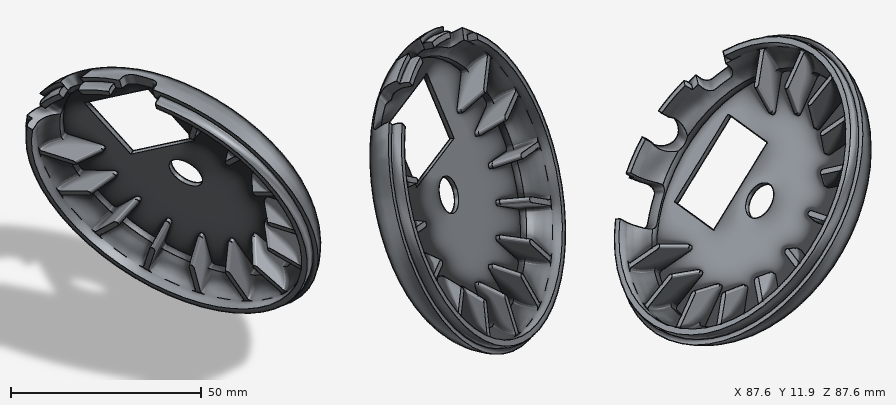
import cadquery as cq
import math

HEIGHT = 11.9
FLOOR_THICKNESS = 1.3
FLOOR_Y = HEIGHT - FLOOR_THICKNESS

OUTER_RADIUS = 43.8
FACE_RADIUS = 38.4
FLANGE_Y = 3.0
DOME_MID = (41.8, 8.1)

LIP_INNER_RADIUS = 40.5
FLOOR_RADIUS = 36.7
WALL_FOOT_Y = 8.7
WALL_MID = (39.0, 6.4)

NECK_RADIUS = 42.3
BEAD_START_Y = 2.45
BEAD_MID = (42.5, 1.3)
LIP_TIP_RADIUS = 42.15

RIB_POSITIONS = 16
RIB_GAP = 4
RIB_STEP = 360 / RIB_POSITIONS
FIRST_RIB_ANGLE = RIB_STEP / 2 - 180
RIB_THICKNESS = 1.6
RIB_FOOT_RADIUS = 24.5
RIB_FOOT_HEIGHT = 1.1
RIB_TOP_RADIUS = 29.3
RIB_ROOT_FILLET = 1.0
ROOT_DEPTH = 0.9
TOLERANCE = 0.01

CENTRE_HOLE_DIAMETER = 10.0
WINDOW_ANGLE = 135
WINDOW_DISTANCE = 19.6
WINDOW_RADIAL = 19.7
WINDOW_TANGENTIAL = 27.1

SIDE_SLOT_ANGLE = 163
SIDE_SLOT_WIDTH = 13.0
SIDE_SLOT_TOP = 10.1
ROUND_HOLE_ANGLE = 134.3
ROUND_HOLE_DIAMETER = 8.9
ROUND_HOLE_TOP = 9.3
ROUND_HOLE_MOUTH = 8.1
UPPER_SLOT_ANGLE = 104.4
UPPER_SLOT_WIDTH = 10.2
UPPER_SLOT_TOP = 6.75
SLOT_CORNER_RADIUS = 2.45
LIP_GAP_WIDTH = 14.4
CUT_START_RADIUS = 31.55
CUT_LENGTH = OUTER_RADIUS


def make_shell():
    """Revolve the cover's wall, floor and snap lip around Y."""
    profile = (
        cq.Workplane("XY")
        .moveTo(0, HEIGHT)
        .lineTo(FACE_RADIUS, HEIGHT)
        .threePointArc(DOME_MID, (OUTER_RADIUS, FLANGE_Y))
        .lineTo(NECK_RADIUS, FLANGE_Y)
        .lineTo(NECK_RADIUS, BEAD_START_Y)
        .threePointArc(BEAD_MID, (LIP_TIP_RADIUS, 0))
        .lineTo(LIP_INNER_RADIUS, 0)
        .lineTo(LIP_INNER_RADIUS, FLANGE_Y)
        .threePointArc(WALL_MID, (FLOOR_RADIUS, WALL_FOOT_Y))
        .lineTo(FLOOR_RADIUS, FLOOR_Y)
        .lineTo(0, FLOOR_Y)
        .close()
    )
    return profile.revolve(360, (0, 0), (0, 1))


def turned(body, angle):
    """Turn a body built along +X so that it points at the given angle from +X toward +Z."""
    return body.rotate((0, 0, 0), (0, 1, 0), -angle)


def make_rib():
    """Radial rib along +X; its full-round nose slopes down to a short upright foot on the floor."""
    nose_radius = RIB_THICKNESS / 2
    foot_y = FLOOR_Y - RIB_FOOT_HEIGHT
    slope_run = RIB_TOP_RADIUS - RIB_FOOT_RADIUS
    slope_rise = foot_y - FLANGE_Y
    slope_length = math.hypot(slope_run, slope_rise)
    axis_offset = nose_radius * slope_length / slope_rise
    axis_foot = RIB_FOOT_RADIUS + axis_offset
    axis_top = RIB_TOP_RADIUS + axis_offset
    root_radius = LIP_INNER_RADIUS + ROOT_DEPTH
    plate = (
        cq.Workplane("XY")
        .polyline([
            (axis_foot, FLOOR_Y),
            (axis_foot, foot_y),
            (axis_top, FLANGE_Y),
            (root_radius, FLANGE_Y),
            (root_radius, WALL_FOOT_Y - ROOT_DEPTH),
            (FLOOR_RADIUS + ROOT_DEPTH, FLOOR_Y),
        ])
        .close()
        .extrude(nose_radius, both=True)
    )
    sloped_cylinder = cq.Workplane("XY").add(cq.Solid.makeCylinder(
        nose_radius,
        2 * slope_length,
        cq.Vector(axis_foot - slope_run / 2, foot_y + slope_rise / 2, 0),
        cq.Vector(slope_run, -slope_rise, 0),
    ))
    slope_band = (
        cq.Workplane("XY")
        .box(OUTER_RADIUS, slope_rise, OUTER_RADIUS, centered=(False, False, True))
        .translate((0, FLANGE_Y, 0))
    )
    foot = (
        cq.Workplane("XZ", origin=(axis_foot, foot_y, 0))
        .ellipse(axis_offset, nose_radius)
        .extrude(-RIB_FOOT_HEIGHT)
    )
    return plate.union(sloped_cylinder.intersect(slope_band)).union(foot)


def radial_box(width, top):
    """Box along +X that reaches from the open rim up to the given Y and out through the wall."""
    return (
        cq.Workplane("XY")
        .box(CUT_LENGTH, top, width, centered=(False, False, True))
        .translate((CUT_START_RADIUS, 0, 0))
    )


def square_slot(angle, width, top):
    """Cutter for a flat-ended wall opening with rounded inner corners."""
    slot = radial_box(width, top).faces(">Y").edges("|X").fillet(SLOT_CORNER_RADIUS)
    return turned(slot, angle)


def round_hole(angle, diameter, top, mouth_width):
    """Cutter for a round wall hole that opens out through the rim by a straight mouth."""
    centre_y = top - diameter / 2
    hole = (
        cq.Workplane("YZ", origin=(CUT_START_RADIUS, 0, 0))
        .center(centre_y, 0)
        .circle(diameter / 2)
        .extrude(CUT_LENGTH)
    )
    return turned(radial_box(mouth_width, FLANGE_Y).union(hole), angle)


def is_rib_root(edge):
    """True for the corner edges where a rib side meets the inside wall."""
    if edge.geomType() == "BSPLINE":
        return True
    start = edge.startPoint()
    end = edge.endPoint()
    on_wall_foot = abs(math.hypot(start.x, start.z) - FLOOR_RADIUS) < TOLERANCE
    spans_wall_foot = abs(abs(start.y - end.y) - (FLOOR_Y - WALL_FOOT_Y)) < TOLERANCE
    return on_wall_foot and spans_wall_foot


def add_ribs(shell):
    """Fuse the ribs to the shell and fillet their roots against the wall."""
    body = shell
    for index in range(RIB_POSITIONS - RIB_GAP):
        angle = FIRST_RIB_ANGLE + index * RIB_STEP
        body = body.union(turned(make_rib(), angle))
    return body.newObject(body.edges().filter(is_rib_root).vals()).fillet(RIB_ROOT_FILLET)


def face_holes():
    """Cutters for the centre hole and the rectangular window in the closed face."""
    hole = cq.Workplane("XZ").circle(CENTRE_HOLE_DIAMETER / 2).extrude(-HEIGHT)
    window = (
        cq.Workplane("XY")
        .box(WINDOW_RADIAL, HEIGHT, WINDOW_TANGENTIAL, centered=(True, False, True))
        .translate((WINDOW_DISTANCE, 0, 0))
    )
    return hole.union(turned(window, WINDOW_ANGLE))


def wall_openings():
    """All cutters for the openings in the wall and the lip."""
    side = square_slot(SIDE_SLOT_ANGLE, SIDE_SLOT_WIDTH, SIDE_SLOT_TOP)
    rounded = round_hole(
        ROUND_HOLE_ANGLE, ROUND_HOLE_DIAMETER, ROUND_HOLE_TOP, ROUND_HOLE_MOUTH
    )
    upper = square_slot(UPPER_SLOT_ANGLE, UPPER_SLOT_WIDTH, UPPER_SLOT_TOP)
    lip_gap = turned(radial_box(LIP_GAP_WIDTH, FLANGE_Y), UPPER_SLOT_ANGLE)
    return side.union(rounded).union(upper).union(lip_gap)


result = add_ribs(make_shell()).cut(face_holes()).cut(wall_openings())